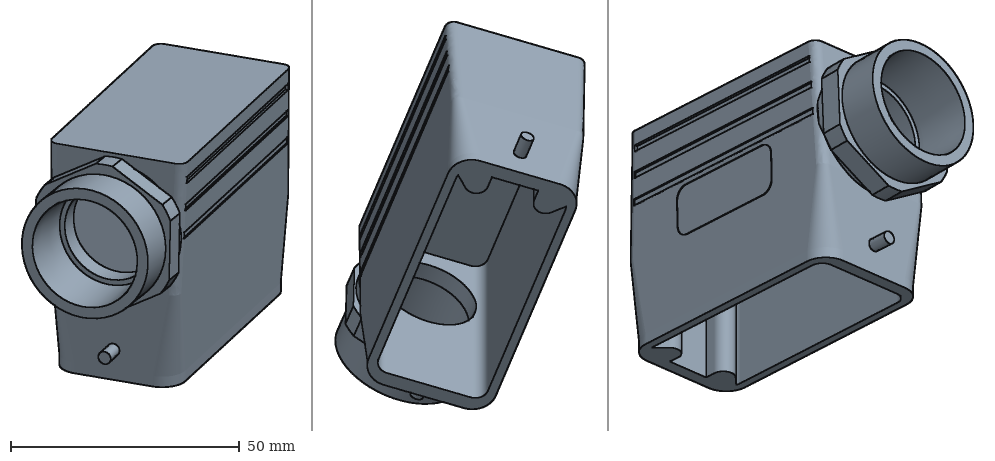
import cadquery as cq
import math

OVERALL_LENGTH = 84.6

BASE_LENGTH = 63.1
BASE_WIDTH = 29.5
TOP_LENGTH = 60.05
TOP_WIDTH = 32.4
HEIGHT = 53.3
LIP_HEIGHT = 2.5
WAIST_LENGTH = 63.2
WAIST_HEIGHT = 22.4
BASE_CORNER = 5.5
TOP_CORNER = 2.1
SIDE_SLOPE = (TOP_WIDTH - BASE_WIDTH) / 2 / (HEIGHT - LIP_HEIGHT)
END_SLOPE = (WAIST_LENGTH - TOP_LENGTH) / 2 / (HEIGHT - WAIST_HEIGHT)

CAVITY_LENGTH = 56.7
CAVITY_WIDTH = 25.4
CAVITY_CORNER = 3.0
ROOF = 2.5

COLUMN_DIAMETER = 5.3
COLUMN_X = 8.0

GROOVE_FLOOR_X = 15.4
GROOVE_HEIGHT = 1.5
GROOVE_BOTTOMS = (35.2, 41.8, 48.2)

PLATE_LENGTH = 30.3
PLATE_HEIGHT = 12.2
PLATE_CORNER = 3.0
PLATE_DEPTH = 0.2
PLATE_Z = 27.8

PIN_DIAMETER = 3.0
PIN_TIP = 36.45
PIN_Z = 7.2

GLAND_Z = 35.5
GLAND_TILT = math.atan(END_SLOPE)
NECK_ROOT = -0.85
NECK_DIAMETER = 31.0
HEX_START = 1.35
HEX_END = 6.6
HEX_FLATS = 32.0
HEX_CORNER_DIAMETER = 34.85
SLEEVE_DIAMETER = 30.0
MOUTH_DIAMETER = 24.95
BORE_DIAMETER = 24.3
WALL_HOLE_DIAMETER = 21.8
SHOULDER = 2.1
TAPER_START = 3.4
WALL_HOLE_DEPTH = 5.1


def half_width(z):
    """Distance of the side wall from the middle plane at a height above the lip."""
    return BASE_WIDTH / 2 + SIDE_SLOPE * (z - LIP_HEIGHT)


def half_length(z):
    """Distance of the end wall from the middle plane at a height above the waist."""
    return WAIST_LENGTH / 2 - END_SLOPE * (z - WAIST_HEIGHT)


def rounded_section(z, width, length, corner):
    outline = cq.Sketch().rect(width, length).vertices().fillet(corner)
    return outline.moved(cq.Location(cq.Vector(0, 0, z)))


def make_shell():
    base = rounded_section(0, BASE_WIDTH, BASE_LENGTH, BASE_CORNER)
    lip = rounded_section(LIP_HEIGHT, BASE_WIDTH, BASE_LENGTH, BASE_CORNER)
    waist = rounded_section(WAIST_HEIGHT, 2 * half_width(WAIST_HEIGHT), WAIST_LENGTH, TOP_CORNER)
    top = rounded_section(HEIGHT, TOP_WIDTH, TOP_LENGTH, TOP_CORNER)
    shell = cq.Workplane("XY").placeSketch(base).extrude(LIP_HEIGHT)
    for lower, upper in ((lip, waist), (waist, top)):
        shell = shell.union(cq.Workplane("XY").placeSketch(lower, upper).loft(ruled=True))
    return shell


def make_grooves():
    """Cutters for both side walls; each stops where the corner rounding begins."""
    grooves = cq.Workplane("XY")
    for bottom in GROOVE_BOTTOMS:
        length = 2 * (half_length(bottom + GROOVE_HEIGHT / 2) - TOP_CORNER)
        for side in (-1, 1):
            cutter = cq.Workplane("XY").box(TOP_WIDTH, length, GROOVE_HEIGHT, centered=(True, True, False))
            offset_x = side * (GROOVE_FLOOR_X + TOP_WIDTH / 2)
            grooves = grooves.add(cutter.translate((offset_x, 0, bottom)))
    return grooves.combine()


def make_name_plate():
    wall = cq.Plane(
        origin=(-half_width(PLATE_Z), 0, PLATE_Z),
        xDir=(0, -1, 0),
        normal=(-1, 0, -SIDE_SLOPE),
    )
    outline = cq.Sketch().rect(PLATE_LENGTH, PLATE_HEIGHT).vertices().fillet(PLATE_CORNER)
    return cq.Workplane(wall).placeSketch(outline).extrude(PLATE_DEPTH, both=True)


def make_cavity():
    """Inner space, with two round-nosed columns left standing on its rear wall."""
    height = HEIGHT - ROOF
    cavity = (
        cq.Workplane("XY")
        .rect(CAVITY_WIDTH, CAVITY_LENGTH)
        .extrude(height)
        .edges("|Z")
        .fillet(CAVITY_CORNER)
    )
    radius = COLUMN_DIAMETER / 2
    diagonal = radius * math.sqrt(0.5)
    rear = BASE_LENGTH / 2
    nose_y = CAVITY_LENGTH / 2 - radius
    flank_x = COLUMN_X + diagonal
    flank_y = nose_y - diagonal
    column = (
        cq.Workplane("XY")
        .moveTo(COLUMN_X - radius, rear)
        .lineTo(COLUMN_X - radius, nose_y)
        .threePointArc((COLUMN_X - diagonal, nose_y - diagonal), (COLUMN_X, nose_y - radius))
        .threePointArc(
            (COLUMN_X + radius * math.sin(math.pi / 8), nose_y - radius * math.cos(math.pi / 8)),
            (flank_x, flank_y),
        )
        .lineTo(flank_x + rear - flank_y, rear)
        .close()
        .extrude(height)
    )
    return cavity.cut(column).cut(column.mirror("YZ"))


def make_pins():
    reach = PIN_TIP - CAVITY_LENGTH / 2
    pins = cq.Workplane("XZ", origin=(0, -CAVITY_LENGTH / 2, PIN_Z)).circle(PIN_DIAMETER / 2).extrude(reach)
    return pins.union(pins.mirror("XZ"))


def gland_plane(distance):
    """Plane square to the gland axis, the given distance outside the front wall."""
    outward = cq.Vector(0, -math.cos(GLAND_TILT), math.sin(GLAND_TILT))
    foot = cq.Vector(0, -half_length(GLAND_Z), GLAND_Z)
    return cq.Plane(origin=foot + outward * distance, xDir=(1, 0, 0), normal=outward)


def gland_length():
    """Length that puts the lowest, foremost point of the sleeve rim at the overall length."""
    rim_overhang = SLEEVE_DIAMETER / 2 * math.sin(GLAND_TILT)
    reach = OVERALL_LENGTH - PIN_TIP - half_length(GLAND_Z) - rim_overhang
    return reach / math.cos(GLAND_TILT)


def make_gland():
    neck = cq.Workplane(gland_plane(NECK_ROOT)).circle(NECK_DIAMETER / 2).extrude(HEX_START - NECK_ROOT)
    thickness = HEX_END - HEX_START
    hexagon = (
        cq.Workplane(gland_plane(HEX_START))
        .polygon(6, HEX_FLATS, circumscribed=True)
        .extrude(thickness)
    )
    corner_limit = cq.Workplane(gland_plane(HEX_START)).circle(HEX_CORNER_DIAMETER / 2).extrude(thickness)
    sleeve = cq.Workplane(gland_plane(HEX_END)).circle(SLEEVE_DIAMETER / 2).extrude(gland_length() - HEX_END)
    return neck.union(hexagon.intersect(corner_limit)).union(sleeve)


def make_gland_bore():
    """Tapered mouth, short straight bore and the smaller hole through the wall."""
    straight = cq.Workplane(gland_plane(SHOULDER)).circle(BORE_DIAMETER / 2).extrude(TAPER_START - SHOULDER)
    taper = (
        cq.Workplane(gland_plane(TAPER_START))
        .circle(BORE_DIAMETER / 2)
        .workplane(offset=gland_length() - TAPER_START)
        .circle(MOUTH_DIAMETER / 2)
        .loft()
    )
    wall_hole = (
        cq.Workplane(gland_plane(-WALL_HOLE_DEPTH))
        .circle(WALL_HOLE_DIAMETER / 2)
        .extrude(WALL_HOLE_DEPTH + SHOULDER)
    )
    return straight.union(taper).union(wall_hole)


result = (
    make_shell()
    .cut(make_grooves())
    .cut(make_name_plate())
    .cut(make_cavity())
    .union(make_pins())
    .union(make_gland())
    .cut(make_gland_bore())
)